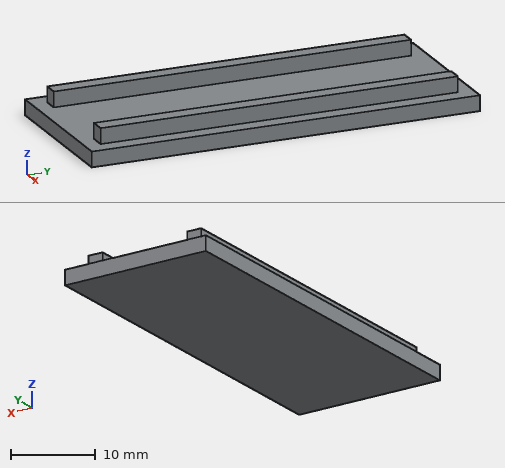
import cadquery as cq

plate_width = 20.0
plate_length = 50.0
plate_thickness = 2.0

rail_size = 2.0
rail_inset = 2.0
rail_length = plate_length - 2 * rail_inset
rail_offset = plate_width / 2 - rail_inset - rail_size / 2


def make_plate():
    return cq.Workplane("XY").box(
        plate_width, plate_length, plate_thickness, centered=(True, True, False)
    )


def add_rails(body):
    return (
        body.faces(">Z")
        .workplane()
        .pushPoints([(-rail_offset, 0), (rail_offset, 0)])
        .rect(rail_size, rail_length)
        .extrude(rail_size)
    )


result = add_rails(make_plate())